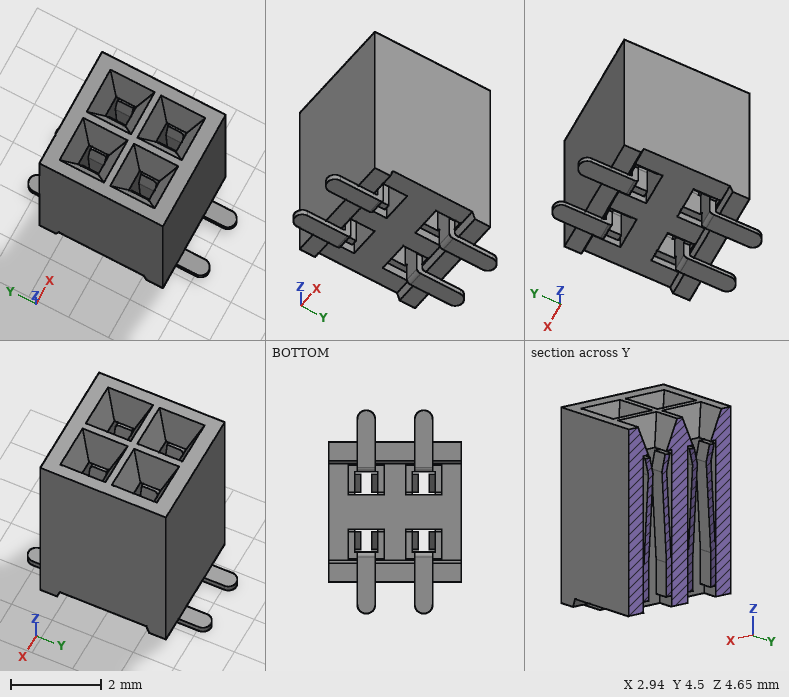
import cadquery as cq
import math

pitch = 1.27
half_pitch = pitch / 2
stock = 0.15
overall_height = 4.65
overall_length = 4.5

body_width = 2.94
body_depth = 3.1
body_bottom = stock
body_height = overall_height - body_bottom

channel_height = 0.2
channel_top = body_bottom + channel_height
channel_top_width = 2.13
channel_mouth_width = 2.27

funnel_mouth = 1.11
hole_size = 0.5
funnel_depth = 0.7
funnel_bottom = overall_height - funnel_depth
cavity_half_width = hole_size / 2 + stock

strip_width = 0.4
leg_front = hole_size / 2
leg_rear = leg_front + stock
foot_end = overall_length / 2 - half_pitch
bend_inner_radius = 0.05
bend_outer_radius = 0.1
frame_bottom = 0.6
frame_top = 1.4
tip_clearance = 0.05
tip_top = funnel_bottom - tip_clearance
flare_height = 0.4
pinch_height = tip_top - flare_height
pinch_half_gap = 0.12
tip_half_gap = 0.215
tip_corner_radius = 0.1


def block(x_range, y_range, z_range):
    """Axis-aligned box between the given limits."""
    size = [high - low for low, high in (x_range, y_range, z_range)]
    corner = (x_range[0], y_range[0], z_range[0])
    return cq.Workplane("XY").box(*size, centered=False).translate(corner)


def at_position(shape, column, row):
    """Place a shape made around the Z axis, with +Y outward, at one contact position."""
    if row < 0:
        shape = shape.rotate((0, 0, 0), (0, 0, 1), 180)
    return shape.translate((column * half_pitch, row * half_pitch, 0))


def make_channel():
    """Full-width channel with sloping sides, wider at its mouth."""
    return (
        cq.Workplane("YZ")
        .moveTo(-channel_mouth_width / 2, body_bottom)
        .lineTo(channel_mouth_width / 2, body_bottom)
        .lineTo(channel_top_width / 2, channel_top)
        .lineTo(-channel_top_width / 2, channel_top)
        .close()
        .extrude(body_width / 2, both=True)
    )


def make_funnel():
    """Square lead-in that narrows downward to the contact hole."""
    return (
        cq.Workplane("XY")
        .workplane(offset=funnel_bottom)
        .rect(hole_size, hole_size)
        .workplane(offset=funnel_depth)
        .rect(funnel_mouth, funnel_mouth)
        .loft(ruled=True)
    )


def make_cavity():
    """Cavity for the spring arms with a pocket behind it for the leg, open to the underside."""
    across = (-cavity_half_width, cavity_half_width)
    arm_space = block(across, (-hole_size / 2, hole_size / 2), (body_bottom, funnel_bottom))
    leg_pocket = block(across, (leg_front, leg_rear), (body_bottom, frame_top))
    return arm_space.union(leg_pocket)


def make_housing(positions):
    housing = (
        cq.Workplane("XY")
        .workplane(offset=body_bottom)
        .rect(body_width, body_depth)
        .extrude(body_height)
        .cut(make_channel())
    )
    for column, row in positions:
        housing = housing.cut(at_position(make_funnel(), column, row))
        housing = housing.cut(at_position(make_cavity(), column, row))
    return housing


def make_foot_and_leg():
    """L-shaped strip: round-ended foot and the leg rising from its inner end."""
    half_width = strip_width / 2
    inner_arc = bend_inner_radius * (1 - math.sqrt(0.5))
    outer_arc = bend_outer_radius * (1 - math.sqrt(0.5))
    strip = (
        cq.Workplane("YZ")
        .moveTo(foot_end, 0)
        .lineTo(leg_front + bend_outer_radius, 0)
        .threePointArc((leg_front + outer_arc, outer_arc), (leg_front, bend_outer_radius))
        .lineTo(leg_front, frame_top)
        .lineTo(leg_rear, frame_top)
        .lineTo(leg_rear, stock + bend_inner_radius)
        .threePointArc(
            (leg_rear + inner_arc, stock + inner_arc),
            (leg_rear + bend_inner_radius, stock),
        )
        .lineTo(foot_end, stock)
        .close()
        .extrude(half_width, both=True)
    )
    round_end = (
        cq.Workplane("XY")
        .moveTo(-half_width, leg_front)
        .lineTo(half_width, leg_front)
        .lineTo(half_width, foot_end - half_width)
        .threePointArc((0, foot_end), (-half_width, foot_end - half_width))
        .close()
        .extrude(frame_top)
    )
    return strip.intersect(round_end)


def make_frame():
    """U-shaped frame: a back plate on the leg and two side plates carrying the arms."""
    outside = block(
        (-cavity_half_width, cavity_half_width),
        (-strip_width / 2, leg_rear),
        (frame_bottom, frame_top),
    )
    opening = block(
        (-hole_size / 2, hole_size / 2),
        (-strip_width / 2, leg_front),
        (frame_bottom, frame_top),
    )
    return outside.cut(opening)


def make_arm():
    """Spring arm on the +X side: leans in to the pinch point, then flares to its tip."""
    arm = (
        cq.Workplane("XZ")
        .moveTo(hole_size / 2, frame_top)
        .lineTo(pinch_half_gap, pinch_height)
        .lineTo(tip_half_gap, tip_top)
        .lineTo(tip_half_gap + stock, tip_top)
        .lineTo(pinch_half_gap + stock, pinch_height)
        .lineTo(cavity_half_width, frame_top)
        .close()
        .extrude(strip_width / 2, both=True)
    )
    return arm.faces(">Z").edges(">Y").fillet(tip_corner_radius)


def make_contact():
    arm = make_arm()
    return make_foot_and_leg().union(make_frame()).union(arm).union(arm.mirror("YZ"))


contact_positions = [(column, row) for column in (-1, 1) for row in (-1, 1)]
housing = make_housing(contact_positions)
contacts = [at_position(make_contact(), column, row) for column, row in contact_positions]

bodies = [housing, *contacts]
result = cq.Compound.makeCompound([body.solids().val() for body in bodies])